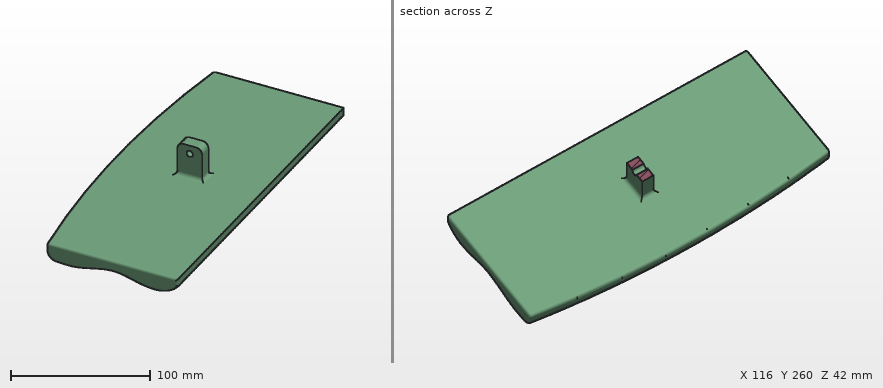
import cadquery as cq

plate_width = 116.0
plate_length = 260.0
plate_thickness = 15.0
bow_depth = 10.0

bowed_edge_depth = 12.0
left_low_x = 28.0
crest_x = 63.5
crest_depth = 9.3
right_low_x = 97.0
straight_edge_depth = 6.3

bowed_edge_direction = (1, -0.18)
level_direction = (1, 0)
straight_edge_direction = (1, 1.3)

end_radius = 2.0
bowed_top_radius = 2.5
bowed_under_radius = 8.0

tab_x = 60.8
tab_width = 20.0
tab_thickness = 10.0
tab_height = 27.0
tab_corner_radius = 5.0
tab_base_radius = 3.0
tab_embed = 1.0
hole_diameter = 5.0
hole_height = 20.0

selection_margin = 0.1
half_length = plate_length / 2


def make_wavy_block():
    """Full-length block with the wavy underside and a straight left side."""
    underside_points = [
        (left_low_x, -plate_thickness),
        (crest_x, -crest_depth),
        (right_low_x, -plate_thickness),
        (plate_width, -straight_edge_depth),
    ]
    underside_directions = [
        bowed_edge_direction,
        level_direction,
        level_direction,
        level_direction,
        straight_edge_direction,
    ]
    return (
        cq.Workplane("XZ", origin=(0, half_length, 0))
        .lineTo(0, -bowed_edge_depth)
        .spline(underside_points, tangents=underside_directions, includeCurrent=True)
        .lineTo(plate_width, 0)
        .close()
        .extrude(plate_length)
    )


def make_bowed_outline():
    """Prism of the plate's plan outline, with one long side bowed outward."""
    return (
        cq.Workplane("XY")
        .moveTo(plate_width, -half_length)
        .lineTo(plate_width, half_length)
        .lineTo(bow_depth, half_length)
        .threePointArc((0, 0), (bow_depth, -half_length))
        .close()
        .extrude(-plate_thickness)
    )


def make_plate():
    """Wavy block trimmed to the plan outline, with its bowed side and both ends rounded."""
    plate = make_wavy_block().intersect(make_bowed_outline())
    plate = plate.faces("<X").edges("<Z").fillet(bowed_under_radius)
    plate = plate.faces("<X").edges(">Z").fillet(bowed_top_radius)
    return plate.faces("<Y or >Y").edges().fillet(end_radius)


def make_tab():
    """Upright tab with rounded top corners and a cross hole."""
    tab = (
        cq.Workplane("XY", origin=(tab_x, 0, -tab_embed))
        .rect(tab_width, tab_thickness)
        .extrude(tab_embed + tab_height)
        .faces(">Z")
        .edges("|Y")
        .fillet(tab_corner_radius)
    )
    hole = (
        cq.Workplane("XZ", origin=(tab_x, 0, hole_height))
        .circle(hole_diameter / 2)
        .extrude(tab_thickness, both=True)
    )
    return tab.cut(hole)


def blend_tab_base(part):
    """Fillet the four edges where the tab meets the top face."""
    reach_x = tab_width / 2 + selection_margin
    reach_y = tab_thickness / 2 + selection_margin
    base_edges = cq.selectors.BoxSelector(
        (tab_x - reach_x, -reach_y, -selection_margin),
        (tab_x + reach_x, reach_y, selection_margin),
    )
    return part.edges(base_edges).fillet(tab_base_radius)


result = blend_tab_base(make_plate().union(make_tab()))